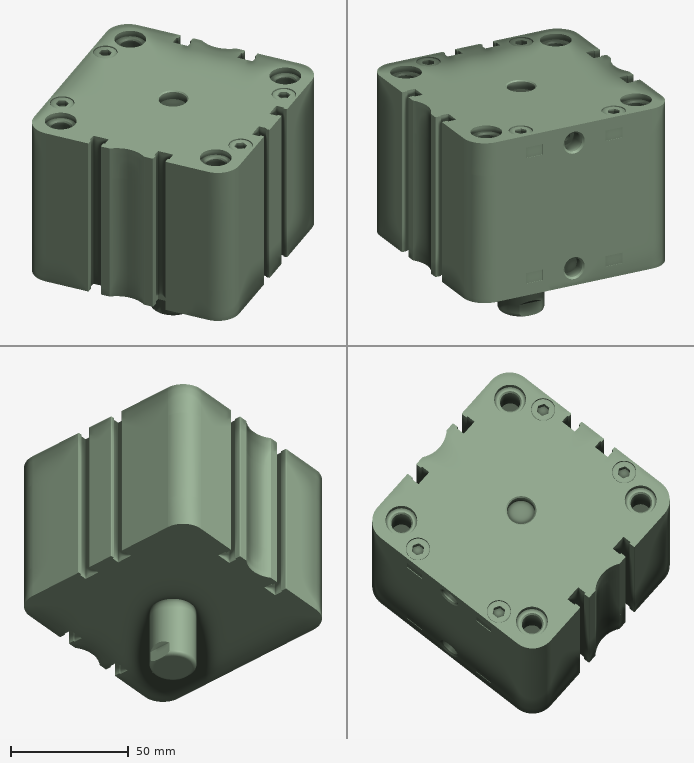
import cadquery as cq

TOTAL_LENGTH = 103.0
BODY_SIDE = 95.5
CAP_HEIGHT = 15.0
BARREL_HEIGHT = 43.9
BODY_HEIGHT = 2 * CAP_HEIGHT + BARREL_HEIGHT
BARREL_TOP = CAP_HEIGHT + BARREL_HEIGHT
HALF_SIDE = BODY_SIDE / 2
CORNER_RADIUS = 10.0

SLOT_MOUTH = 5.7
SLOT_WIDTH = 7.1
FRONT_SLOT_OFFSET = 15.0
FRONT_SLOT_DEPTH = 6.6
FRONT_LIP = 2.7
SIDE_SLOT_OFFSET = 9.1
SIDE_SLOT_DEPTH = 5.4
SIDE_LIP = 1.8

GROOVE_DIAMETER = 26.8
GROOVE_DEPTH = 2.7

RIM_FILLET = 0.3

MOUNT_OFFSET = 36.0
MOUNT_BORE_DIAMETER = 13.5
MOUNT_BORE_DEPTH = 2.7
MOUNT_HOLE_DIAMETER = 8.5
MOUNT_MOUTH_DIAMETER = 9.8

SCREW_X = 41.5
SCREW_Y = 22.4
SCREW_RECESS_DIAMETER = 10.3
SCREW_HEAD_DIAMETER = 9.8
SCREW_HEAD_SINK = 0.4
SCREW_RING_DEPTH = 1.0
HEX_ACROSS_FLATS = 4.8
HEX_DEPTH = 2.6

CENTRE_DIAMETER = 12.0
CENTRE_MOUTH_DIAMETER = 13.1
CENTRE_DEPTH = 4.0

PORT_FROM_END = 7.9
PORT_DIAMETER = 8.5
PORT_MOUTH_DIAMETER = 10.1
UPPER_PORT_DEPTH = 8.2
LOWER_PORT_DEPTH = 5.6
AIR_PASSAGE_DIAMETER = 5.0
AIR_PASSAGE_DEPTH = 15.5

LABEL_OFFSET = 19.2
LABEL_WIDTH = 8.2
LABEL_HEIGHT = 4.8
LABEL_DEPTH = 0.2

ROD_DIAMETER = 20.0
ROD_END_FILLET = 2.0
ROD_ACROSS_FLATS = 17.0
ROD_FLAT_HEIGHT = 6.0
FLAT_RUN_OUT = 1.0
ROD_TIP_Z = BODY_HEIGHT - TOTAL_LENGTH


def slot_cutter(depth, lip):
    """T-slot that enters the -Y side at X = 0 and runs the full height."""
    outer_face = -HALF_SIDE
    mouth = (
        cq.Workplane("XY")
        .center(0, outer_face + depth / 2)
        .rect(SLOT_MOUTH, depth)
        .extrude(BODY_HEIGHT)
    )
    channel_length = depth - lip
    channel = (
        cq.Workplane("XY")
        .center(0, outer_face + lip + channel_length / 2)
        .rect(SLOT_WIDTH, channel_length)
        .extrude(BODY_HEIGHT)
    )
    return mouth.union(channel)


def rim_selector():
    """Edges on the flat stretches of the -Y, +Y and +X sides, which leaves out the corner roundings."""
    half_flat = HALF_SIDE - CORNER_RADIUS - RIM_FILLET
    near = HALF_SIDE - RIM_FILLET
    far = HALF_SIDE + RIM_FILLET
    front = cq.selectors.BoxSelector((-half_flat, -far, 0), (half_flat, -near, BODY_HEIGHT))
    back = cq.selectors.BoxSelector((-half_flat, near, 0), (half_flat, far, BODY_HEIGHT))
    slotted_side = cq.selectors.BoxSelector((near, -half_flat, 0), (far, half_flat, BODY_HEIGHT))
    return front + back + slotted_side


def full_height_profile():
    """Slotted square column from which the caps and the barrel are cut to length."""
    column = (
        cq.Workplane("XY")
        .rect(BODY_SIDE, BODY_SIDE)
        .extrude(BODY_HEIGHT)
        .edges("|Z")
        .fillet(CORNER_RADIUS)
    )

    groove_centre = HALF_SIDE - GROOVE_DEPTH + GROOVE_DIAMETER / 2
    front_slot = slot_cutter(FRONT_SLOT_DEPTH, FRONT_LIP)
    groove = cq.Workplane("XY").center(0, -groove_centre).circle(GROOVE_DIAMETER / 2).extrude(BODY_HEIGHT)
    for angle in (0, 180):
        column = column.cut(groove.rotate((0, 0, 0), (0, 0, 1), angle))
        for x in (-FRONT_SLOT_OFFSET, FRONT_SLOT_OFFSET):
            slot = front_slot.translate((x, 0, 0))
            column = column.cut(slot.rotate((0, 0, 0), (0, 0, 1), angle))

    side_slot = slot_cutter(SIDE_SLOT_DEPTH, SIDE_LIP).rotate((0, 0, 0), (0, 0, 1), 90)
    for y in (-SIDE_SLOT_OFFSET, SIDE_SLOT_OFFSET):
        column = column.cut(side_slot.translate((0, y, 0)))

    return column.edges("|Z").edges(rim_selector()).fillet(RIM_FILLET)


def profile_length(bottom, height):
    """Length of the slotted profile that starts at the given Z."""
    slab = cq.Workplane("XY").workplane(offset=bottom).rect(2 * BODY_SIDE, 2 * BODY_SIDE).extrude(height)
    return full_height_profile().intersect(slab)


def countersunk_cutter(diameter, mouth_diameter, depth):
    """Round hole along -Z from Z = 0, with a 45 degree chamfer at its mouth."""
    chamfer = (mouth_diameter - diameter) / 2
    return (
        cq.Workplane("XZ")
        .polyline(
            [
                (0, 0),
                (mouth_diameter / 2, 0),
                (diameter / 2, -chamfer),
                (diameter / 2, -depth),
                (0, -depth),
            ]
        )
        .close()
        .revolve(360, (0, 0, 0), (0, 1, 0))
    )


def port_cutter(z, depth):
    """Chamfered air port that enters the -X side at the given height."""
    port = countersunk_cutter(PORT_DIAMETER, PORT_MOUTH_DIAMETER, depth)
    return port.rotate((0, 0, 0), (0, 1, 0), -90).translate((-HALF_SIDE, 0, z))


def cut_port_and_labels(cap, port_z, port_depth):
    """Cut the port and the two label panels into the -X side of a cap."""
    cap = cap.cut(port_cutter(port_z, port_depth))
    for y in (-LABEL_OFFSET, LABEL_OFFSET):
        panel = cq.Workplane("XY").box(2 * LABEL_DEPTH, LABEL_WIDTH, LABEL_HEIGHT)
        cap = cap.cut(panel.translate((-HALF_SIDE, y, port_z)))
    return cap


def mount_hole_cutter():
    """Counterbored mounting hole through the cap, with its top at Z = 0."""
    bore = cq.Workplane("XY").circle(MOUNT_BORE_DIAMETER / 2).extrude(-MOUNT_BORE_DEPTH)
    hole = countersunk_cutter(MOUNT_HOLE_DIAMETER, MOUNT_MOUTH_DIAMETER, CAP_HEIGHT - MOUNT_BORE_DEPTH)
    return bore.union(hole.translate((0, 0, -MOUNT_BORE_DEPTH)))


def screw_head_cutter():
    """Recess above a screw head, the ring gap around it and its hexagon socket, from Z = 0 down."""
    recess = cq.Workplane("XY").circle(SCREW_RECESS_DIAMETER / 2).extrude(-SCREW_HEAD_SINK)
    ring = (
        cq.Workplane("XY")
        .circle(SCREW_RECESS_DIAMETER / 2)
        .circle(SCREW_HEAD_DIAMETER / 2)
        .extrude(-SCREW_RING_DEPTH)
    )
    socket = (
        cq.Workplane("XY")
        .polygon(6, HEX_ACROSS_FLATS, circumscribed=True)
        .extrude(-SCREW_HEAD_SINK - HEX_DEPTH)
    )
    return recess.union(ring).union(socket)


def make_upper_cap():
    cap = profile_length(BARREL_TOP, CAP_HEIGHT)
    port_z = BODY_HEIGHT - PORT_FROM_END
    cap = cut_port_and_labels(cap, port_z, UPPER_PORT_DEPTH)
    passage = cq.Workplane("YZ").circle(AIR_PASSAGE_DIAMETER / 2).extrude(AIR_PASSAGE_DEPTH)
    cap = cap.cut(passage.translate((-HALF_SIDE, 0, port_z)))

    for x_side in (-1, 1):
        for y_side in (-1, 1):
            mount_place = (x_side * MOUNT_OFFSET, y_side * MOUNT_OFFSET, BODY_HEIGHT)
            screw_place = (x_side * SCREW_X, y_side * SCREW_Y, BODY_HEIGHT)
            cap = cap.cut(mount_hole_cutter().translate(mount_place))
            cap = cap.cut(screw_head_cutter().translate(screw_place))

    centre_hole = countersunk_cutter(CENTRE_DIAMETER, CENTRE_MOUTH_DIAMETER, CENTRE_DEPTH)
    return cap.cut(centre_hole.translate((0, 0, BODY_HEIGHT)))


def make_barrel():
    return profile_length(CAP_HEIGHT, BARREL_HEIGHT)


def make_lower_cap():
    cap = cut_port_and_labels(profile_length(0, CAP_HEIGHT), PORT_FROM_END, LOWER_PORT_DEPTH)
    rod_hole = cq.Workplane("XY").circle(ROD_DIAMETER / 2).extrude(CAP_HEIGHT)
    return cap.cut(rod_hole)


def make_rod():
    """Round rod from the top of the lower cap down to its tip, with two wrench flats."""
    rod = (
        cq.Workplane("XY")
        .workplane(offset=ROD_TIP_Z)
        .circle(ROD_DIAMETER / 2)
        .extrude(CAP_HEIGHT - ROD_TIP_Z)
        .faces("<Z")
        .edges()
        .fillet(ROD_END_FILLET)
    )
    flat_x = ROD_ACROSS_FLATS / 2
    flat_top = ROD_TIP_Z + ROD_FLAT_HEIGHT
    outer_x = ROD_DIAMETER / 2 + FLAT_RUN_OUT
    flat_cutter = (
        cq.Workplane("XZ")
        .polyline(
            [
                (flat_x, ROD_TIP_Z),
                (outer_x, ROD_TIP_Z),
                (outer_x, flat_top + outer_x - flat_x),
                (flat_x, flat_top),
            ]
        )
        .close()
        .extrude(ROD_DIAMETER / 2, both=True)
    )
    return rod.cut(flat_cutter).cut(flat_cutter.mirror("YZ"))


upper_cap = make_upper_cap()
barrel = make_barrel()
lower_cap = make_lower_cap()
rod = make_rod()

result = cq.Compound.makeCompound([upper_cap.val(), barrel.val(), lower_cap.val(), rod.val()])